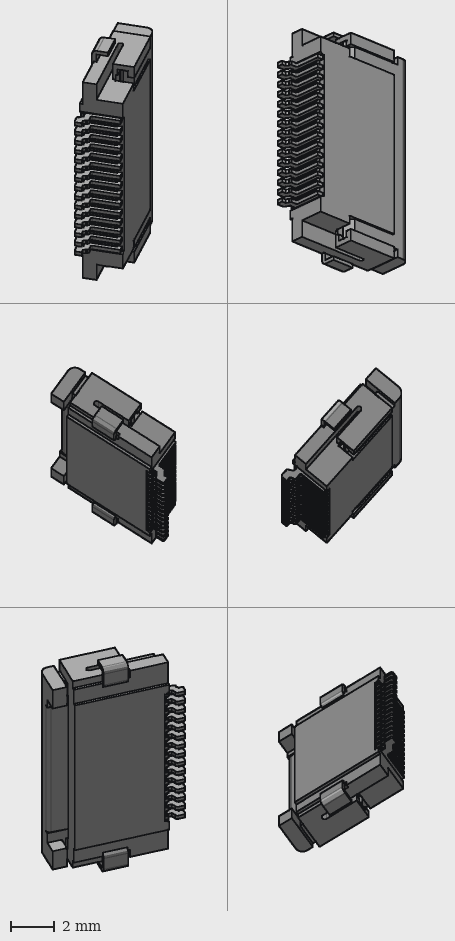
import cadquery as cq


body_thickness = 2.05
body_depth = 4.6
body_half = 5.3
end_step_x = 0.14
end_step_z = 4.12
clip_recess_x = 0.28
clip_recess_z = 4.92
clip_recess_front = 1.86

contact_count = 15
contact_row = 7.0
contact_pitch = contact_row / (contact_count - 1)
contact_width = 0.2
contact_back = 0.29
contact_front = -0.1
contact_top_x = 1.96
rib_tip_width = 0.09
rib_height = 0.1
end_bevel = 0.1
wall_y = 0.21
rib_start_x = 0.28
rib_end_x = 1.75

foot_x = -0.05
foot_front = -0.79
foot_top = -0.31
lead_left_x = 0.24
lead_right_x = 0.57
lead_bend_radius = 0.06
lead_bend_y = -0.21
crank_left_x = 0.43
crank_right_x = 0.51
crank_y = -0.5
crank_bevel = 0.07
foot_right_x = 0.31
foot_radius = 0.09
tail_x = 0.08
tail_end_x = 0.2

arm_slot_x = 0.8
latch_x = 1.04
floor_z = 4.47
latch_front = 1.89
slot_end = 3.7
overhang_z = 4.71
pocket_x = 1.18
pocket_deep_x = 1.25
pocket_deep_end_x = rib_end_x
pocket_deep_z = 5.02
pocket_deep_end = 4.41
floor_recess_front = 1.82
floor_recess_z = 4.06
cut_clearance = 0.12

lever_x = 0.9
lever_end_x = contact_top_x
lever_back = 5.61
lever_radius = 0.4
lever_mid_top = 3.62
lever_mid_bottom = -3.53
lever_web_half = 4.06
lever_face_rise = 0.05
lever_nose_radius = 0.19
wing_x = 0.21
wing_front = 4.91
wing_half = 5.1
arm_front = 4.71
arm_tab_x = 0.94
arm_tab_end_x = 1.2
arm_tab_z = 3.92
arm_tab_top_z = 4.69
nose_tip_x = 1.53
nose_tip_y = 1.91
nose_side_y = 2.23
nose_root_y = 2.55
nose_flank_x = 1.37
nose_flank_y = 2.01
nose_flank_radius = 0.35

clip_width = 1.21
clip_front = 2.0
clip_thickness_x = 0.21
clip_thickness_z = 0.2
clip_reach = 0.78
clip_end_z = 5.8
clip_radius = 0.24
clip_tail_z = 4.93


def box(x_range, y_range, z_range):
    """Axis-aligned block from three (low, high) pairs."""
    sizes = [high - low for low, high in (x_range, y_range, z_range)]
    corner = (x_range[0], y_range[0], z_range[0])
    return cq.Workplane("XY").box(*sizes, centered=False).translate(corner)


def at_both_ends(shape):
    """The shape together with its mirror image about Z = 0."""
    return shape.union(shape.mirror("XY"))


def prism_z(outline, z_low, z_high):
    """Closed XY outline extruded between two heights."""
    return outline.close().extrude(z_high - z_low).translate((0, 0, z_low))


def ribbed_front_cut():
    """Material removed between the ribs and beside them at the solder side."""
    half = (contact_row + contact_width) / 2
    cut = (
        cq.Workplane("YZ")
        .polyline([(0, -half - end_bevel), (0, half + end_bevel), (rib_height, half), (rib_height, -half)])
        .close()
        .extrude(body_thickness)
    )
    for x_range in ((0, rib_start_x), (rib_end_x, body_thickness)):
        cut = cut.union(box(x_range, (0, wall_y), (-half, half)))
    return cut


def rib(z):
    """Tapered rib in the gap between two contacts, centred at height z."""
    base = (contact_pitch - contact_width) / 2
    tip = rib_tip_width / 2
    return (
        cq.Workplane("YZ")
        .polyline([(contact_back, z - base), (rib_height, z - base), (0, z - tip),
                   (0, z + tip), (rib_height, z + base), (contact_back, z + base)])
        .close()
        .extrude(rib_end_x - rib_start_x)
        .translate((rib_start_x, 0, 0))
    )


def contact(z):
    """Contact strip with its cranked solder lead, centred at height z."""
    outline = (
        cq.Workplane("XY")
        .moveTo(contact_top_x, contact_back)
        .lineTo(contact_top_x, contact_front)
        .lineTo(lead_right_x + lead_bend_radius, contact_front)
        .radiusArc((lead_right_x, contact_front - lead_bend_radius), -lead_bend_radius)
        .lineTo(lead_right_x, crank_y + crank_bevel)
        .lineTo(crank_right_x, crank_y)
        .lineTo(crank_left_x, crank_y)
        .lineTo(foot_right_x, crank_y - crank_bevel)
        .lineTo(foot_right_x, foot_front)
        .lineTo(foot_x + foot_radius, foot_front)
        .radiusArc((foot_x, foot_front + foot_radius), foot_radius)
        .lineTo(foot_x, foot_top - foot_radius)
        .radiusArc((foot_x + foot_radius, foot_top), foot_radius)
        .lineTo(lead_left_x, lead_bend_y)
        .lineTo(lead_left_x, contact_back)
    )
    z_low = z - contact_width / 2
    z_high = z + contact_width / 2
    tail = box((tail_x, tail_end_x), (0, contact_back), (z_low, z_high))
    return prism_z(outline, z_low, z_high).union(tail)


def latch_cut():
    """Openings that form the latch block and its pocket at the upper end."""
    above = body_half + cut_clearance
    slot_radius = (latch_x - arm_slot_x) / 2
    slot = prism_z(
        cq.Workplane("XY")
        .moveTo(arm_slot_x, 0)
        .lineTo(arm_slot_x, slot_end - slot_radius)
        .threePointArc((arm_slot_x + slot_radius, slot_end), (latch_x, slot_end - slot_radius))
        .lineTo(latch_x, 0),
        floor_z, above,
    )
    gap = box((latch_x, body_thickness), (0, latch_front), (floor_z, above))
    low_pocket = box((pocket_x, body_thickness), (latch_front, body_depth), (floor_z, overhang_z))
    deep_x = (pocket_deep_x, pocket_deep_end_x)
    deep_pocket = box(deep_x, (latch_front, pocket_deep_end), (floor_z, pocket_deep_z))
    recess_y = (floor_recess_front, body_depth)
    floor_recess = box((pocket_x, body_thickness), recess_y, (floor_recess_z, floor_z))
    return slot.union(gap).union(low_pocket).union(deep_pocket).union(floor_recess)


def housing():
    body = box((0, body_thickness), (0, body_depth), (-body_half, body_half))
    end_step = box((0, end_step_x), (0, body_depth), (end_step_z, body_half))
    clip_recess = box((0, clip_recess_x), (clip_recess_front, body_depth), (clip_recess_z, body_half))
    end_cuts = end_step.union(clip_recess).union(latch_cut())
    return body.cut(at_both_ends(end_cuts)).cut(ribbed_front_cut())


def latch_nose():
    """Actuator hook inside the upper pocket, pointed toward the front."""
    outline = (
        cq.Workplane("XY")
        .moveTo(pocket_x, body_depth)
        .lineTo(pocket_x, nose_root_y)
        .lineTo(nose_flank_x, nose_flank_y)
        .radiusArc((nose_tip_x, nose_tip_y), -nose_flank_radius)
        .lineTo(lever_end_x, nose_side_y)
        .lineTo(lever_end_x, body_depth)
    )
    hook = prism_z(outline, floor_recess_z, pocket_deep_z)
    window = box((pocket_x, lever_end_x), (0, body_depth), (floor_recess_z, overhang_z))
    window = window.union(
        box((pocket_deep_x, pocket_deep_end_x), (0, pocket_deep_end), (floor_recess_z, pocket_deep_z))
    )
    return hook.intersect(window)


def lever_block(x_start, y_start, z_low, z_high):
    """Actuator block with the rounded rear corner."""
    block = box((x_start, lever_end_x), (y_start, lever_back), (z_low, z_high))
    return block.edges("|Z and >X and >Y").fillet(lever_radius)


def lever_middle():
    """Long actuator plate with a rounded edge, and the webs next to it."""
    nose_y = lever_back - lever_nose_radius
    face_x = lever_x + lever_face_rise
    outline = (
        cq.Workplane("XY")
        .moveTo(lever_x, body_depth)
        .lineTo(face_x, nose_y)
        .radiusArc((face_x + lever_nose_radius, lever_back), lever_nose_radius)
        .lineTo(lever_end_x, lever_back)
        .lineTo(lever_end_x, body_depth)
    )
    middle = prism_z(outline, lever_mid_bottom, lever_mid_top)
    middle = middle.edges("|Z and >X and >Y").fillet(lever_radius)
    top_web = lever_block(lever_x, body_depth, lever_mid_top, lever_web_half)
    bottom_web = lever_block(lever_x, body_depth, -lever_web_half, lever_mid_bottom)
    return middle.union(top_web).union(bottom_web)


def lever_end():
    """Wing and arm of the actuator at the upper end."""
    end = lever_block(wing_x, wing_front, lever_web_half, wing_half)
    arm_z = (lever_mid_top, overhang_z)
    end = end.union(box((lever_x, lever_end_x), (arm_front, wing_front), arm_z))
    end = end.union(box((arm_tab_end_x, lever_end_x), (body_depth, arm_front), arm_z))
    return end.union(box((arm_tab_x, arm_tab_end_x), (body_depth, arm_front), (arm_tab_z, arm_tab_top_z)))


def clip():
    """Bent hold-down clip at the upper end."""
    tail_low_z = clip_tail_z - clip_radius
    profile = (
        cq.Workplane("XZ")
        .moveTo(clip_radius, tail_low_z)
        .radiusArc((0, clip_tail_z), clip_radius)
        .lineTo(0, clip_end_z - clip_radius)
        .radiusArc((clip_radius, clip_end_z), clip_radius)
        .lineTo(clip_reach, clip_end_z)
        .lineTo(clip_reach, clip_end_z - clip_thickness_z)
        .lineTo(clip_thickness_x, clip_end_z - clip_thickness_z)
        .lineTo(clip_thickness_x, clip_recess_z)
        .lineTo(clip_radius, clip_recess_z)
        .close()
    )
    return profile.extrude(-clip_width).translate((0, clip_front, 0))


result = housing()
for index in range(contact_count):
    contact_z = index * contact_pitch - contact_row / 2
    result = result.union(contact(contact_z))
    if index < contact_count - 1:
        result = result.union(rib(contact_z + contact_pitch / 2))
result = result.union(lever_middle())
for end_part in (lever_end(), latch_nose(), clip()):
    result = result.union(at_both_ends(end_part))